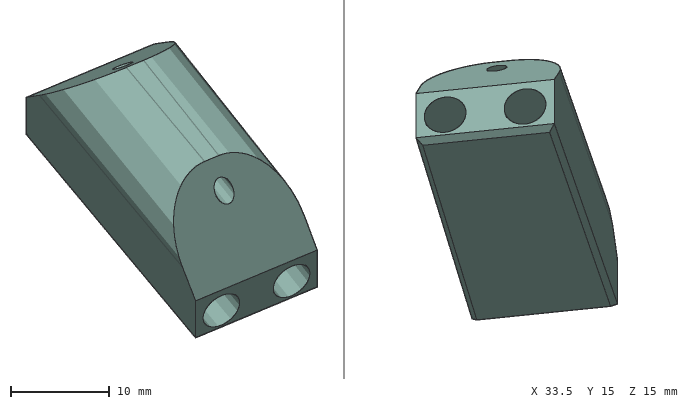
import cadquery as cq
import math

length = 33.5
wide_end = 15.0
narrow_end = 14.27
height = 15.0
shoulder_radius = 6.4
bottom_chamfer = 0.6

slope_run = 9.0

small_hole_diameter = 2.0
small_hole_depth = 2.48

large_hole_diameter = 4.3
large_hole_height = 3.05
large_hole_offset = 4.5

half_length = length / 2
side_angle = math.atan2((wide_end - narrow_end) / 2, length)


def tapered_block():
    """Tapered block with rounded shoulders and a chamfered bottom."""
    block = (
        cq.Workplane("XY")
        .polyline([
            (-half_length, -wide_end / 2),
            (half_length, -narrow_end / 2),
            (half_length, narrow_end / 2),
            (-half_length, wide_end / 2),
        ])
        .close()
        .extrude(height)
    )
    block = block.faces(">Z").edges(">Y or <Y").fillet(shoulder_radius)
    return block.faces("<Z").edges().chamfer(bottom_chamfer)


def end_slope(side):
    """Wedge removed above the slope at the end on the given side of X."""
    return (
        cq.Workplane("XZ")
        .polyline([
            (side * half_length, height - slope_run),
            (side * half_length, height),
            (side * (half_length - slope_run), height),
        ])
        .close()
        .extrude(wide_end / 2, both=True)
    )


def small_hole():
    return (
        cq.Workplane("YZ", origin=(-half_length, 0, height - small_hole_depth))
        .circle(small_hole_diameter / 2)
        .extrude(length)
    )


def large_hole(side):
    """Cylinder that leans towards the centre plane, overrunning both ends."""
    direction = cq.Vector(math.cos(side_angle), -side * math.sin(side_angle), 0)
    overrun = large_hole_diameter
    wide_end_centre = cq.Vector(-half_length, side * large_hole_offset, large_hole_height)
    return cq.Solid.makeCylinder(
        large_hole_diameter / 2,
        length + 2 * overrun,
        wide_end_centre - direction * overrun,
        direction,
    )


result = tapered_block().cut(small_hole())
for side in (-1, 1):
    result = result.cut(end_slope(side)).cut(large_hole(side))